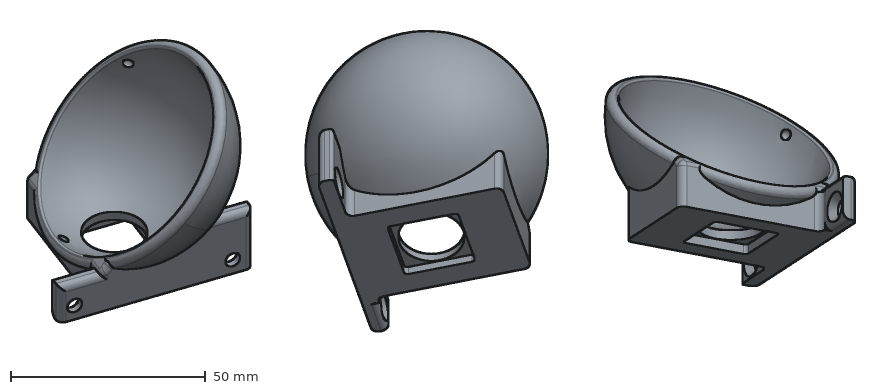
import cadquery as cq
import math

OUTER_R = 32.45
WALL = 3.1
INNER_R = OUTER_R - WALL
RIM_DEPTH = 4.65
RIM_OUTER_ROUND = 2.0
RIM_INNER_ROUND = 0.65
CENTER = cq.Vector(0, 0, 33.4)
TILT = 45

BASE_X, BASE_Y = 45.4, 29.5
BASE_TOP = 14.6
EDGE_ROUND = 2.0

TAB_THICK = 4.25
TAB_FRONT_Y, TAB_BACK_Y = -26.5, 28.65
FRONT_TAB_TOP, BACK_TAB_TOP = 11.75, 19.05
TAB_INNER_ROUND = 0.95
FRONT_SCREW_Y, BACK_SCREW_Y = -22.05, 22.95
SCREW_Z = 4.5
SCREW_DIA, SCREW_HEAD_DIA = 4.1, 8.15

HOLE_DIA = 17.0
POCKET_X, POCKET_Y = 18.8, 17.55
POCKET_DEPTH, POCKET_ROUND = 2.7, 0.95

DIMPLE_COUNT = 3
DIMPLE_DIA = 2.8
DIMPLE_RING_R = 28.3

MOUTH = cq.Plane(
    origin=CENTER.toTuple(),
    xDir=(1, 0, 0),
    normal=(0, -math.sin(math.radians(TILT)), math.cos(math.radians(TILT))),
)


def rounded_ball():
    """Solid spherical cap below the rim plane, with its outer edge rounded."""
    rim_r = math.sqrt(OUTER_R**2 - RIM_DEPTH**2)
    profile = (
        cq.Workplane("XZ")
        .moveTo(0, -RIM_DEPTH)
        .lineTo(rim_r, -RIM_DEPTH)
        .threePointArc((OUTER_R / math.sqrt(2), -OUTER_R / math.sqrt(2)), (0, -OUTER_R))
        .close()
    )
    cap = profile.revolve(360, (0, 0), (0, 1))
    return cap.faces(">Z").edges().fillet(RIM_OUTER_ROUND).val().moved(cq.Location(MOUTH))


def above_rim():
    """Everything on the open side of the rim plane."""
    size = 4 * OUTER_R
    block = cq.Workplane(MOUTH).workplane(offset=-RIM_DEPTH)
    return block.rect(size, size).extrude(size)


def base():
    """Block cut along the rim plane, rounded at its corners and along the sloping face."""
    block = cq.Workplane("XY").rect(BASE_X, BASE_Y).extrude(2 * BASE_TOP)
    block = block.edges("|Z").fillet(EDGE_ROUND).cut(above_rim())
    slope = block.faces(cq.selectors.ParallelDirSelector(MOUTH.zDir))
    block = slope.edges("not >Z").fillet(EDGE_ROUND)
    return block.intersect(cq.Workplane("XY").rect(BASE_X, BASE_Y).extrude(BASE_TOP))


def tab(end_y, top):
    """Upright tab from inside the base to end_y, with a blend where it leaves the base wall."""
    side = math.copysign(1, end_y)
    outer_x = BASE_X / 2
    inner_x = outer_x - TAB_THICK
    wall_y = side * BASE_Y / 2
    root_y = wall_y - side * 2 * EDGE_ROUND
    plan = (
        cq.Workplane("XY")
        .moveTo(outer_x, root_y)
        .lineTo(outer_x, end_y - side * EDGE_ROUND)
        .radiusArc((outer_x - EDGE_ROUND, end_y), -side * EDGE_ROUND)
        .lineTo(inner_x, end_y)
        .lineTo(inner_x, wall_y + side * EDGE_ROUND)
        .radiusArc((inner_x - EDGE_ROUND, wall_y), side * EDGE_ROUND)
        .lineTo(inner_x - EDGE_ROUND, root_y)
        .close()
        .extrude(top)
    )
    section = (
        cq.Workplane("XZ")
        .moveTo(inner_x, 0)
        .lineTo(outer_x, 0)
        .lineTo(outer_x, top)
        .lineTo(inner_x, top)
        .close()
        .extrude(2 * OUTER_R, both=True)
    )
    section = section.edges(">X and >Z").fillet(EDGE_ROUND)
    section = section.edges("<X and >Z").fillet(TAB_INNER_ROUND)
    if side < 0:
        section = section.edges("<X and <Z").fillet(EDGE_ROUND)
    else:
        plan = plan.edges("|Z").edges(">Y").edges("<X").fillet(TAB_INNER_ROUND)
    blend_zone = (
        cq.Workplane("XY")
        .box(2 * EDGE_ROUND, 4 * EDGE_ROUND, top - TAB_INNER_ROUND, centered=(True, True, False))
        .translate((inner_x, wall_y - side * EDGE_ROUND, 0))
    )
    return plan.intersect(section.union(blend_zone))


def screw_hole(y):
    """Through hole along X, countersunk on the inner face of the tab."""
    inner_x = BASE_X / 2 - TAB_THICK
    bore_r, head_r = SCREW_DIA / 2, SCREW_HEAD_DIA / 2
    sink_depth = head_r - bore_r
    start = cq.Vector(inner_x, y, SCREW_Z)
    along_x = cq.Vector(1, 0, 0)
    bore = cq.Solid.makeCylinder(bore_r, TAB_THICK, start, along_x)
    sink = cq.Solid.makeCone(head_r, bore_r, sink_depth, start, along_x)
    return bore.fuse(sink)


def cavity():
    """Hollow of the bowl with a rounded lip at the mouth."""
    r = RIM_INNER_ROUND
    lip_z = -RIM_DEPTH - r
    lip_x = math.sqrt((INNER_R + r)**2 - lip_z**2)
    touch = INNER_R / (INNER_R + r)
    profile = (
        cq.Workplane("XZ")
        .moveTo(0, -INNER_R)
        .threePointArc(
            (INNER_R / math.sqrt(2), -INNER_R / math.sqrt(2)), (lip_x * touch, lip_z * touch))
        .radiusArc((lip_x, -RIM_DEPTH), r)
        .lineTo(0, -RIM_DEPTH)
        .close()
    )
    return profile.revolve(360, (0, 0), (0, 1)).val().moved(cq.Location(MOUTH))


def dimples():
    depth = math.sqrt(INNER_R**2 - DIMPLE_RING_R**2)
    ring = cq.Workplane(MOUTH).workplane(offset=-depth)
    ring = ring.polarArray(DIMPLE_RING_R, -90, 360, DIMPLE_COUNT)
    return ring.sphere(DIMPLE_DIA / 2)


def bottom_opening():
    pocket = cq.Workplane("XY").rect(POCKET_X, POCKET_Y).extrude(POCKET_DEPTH)
    pocket = pocket.edges("|Z").fillet(POCKET_ROUND)
    return pocket.union(cq.Workplane("XY").circle(HOLE_DIA / 2).extrude(OUTER_R / 2))


result = cq.Workplane(rounded_ball()).union(base())
result = result.union(tab(TAB_FRONT_Y, FRONT_TAB_TOP)).union(tab(TAB_BACK_Y, BACK_TAB_TOP))
result = result.cut(cq.Workplane(cavity())).cut(dimples()).cut(bottom_opening())
for screw_y in (FRONT_SCREW_Y, BACK_SCREW_Y):
    result = result.cut(cq.Workplane(screw_hole(screw_y)))